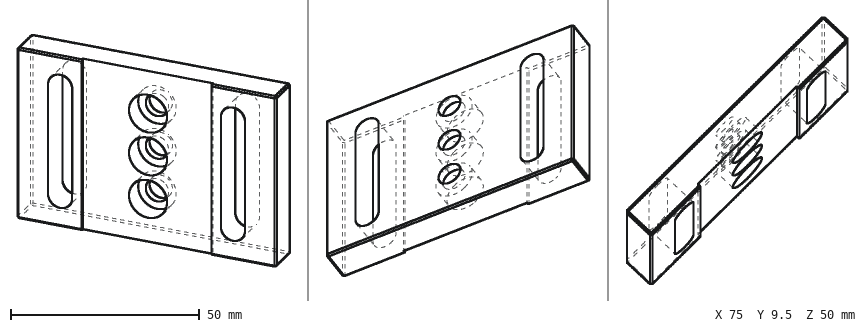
import cadquery as cq

LENGTH = 75.0
THICKNESS = 9.5
HEIGHT = 50.0
EDGE_CHAMFER = 0.5
FRONT_Y = -THICKNESS / 2

CHANNEL_WIDTH = LENGTH / 2
CHANNEL_DEPTH = 1.0
CHANNEL_FLOOR_Y = FRONT_Y + CHANNEL_DEPTH

SLOT_SPACING = 50.0
SLOT_WIDTH = 7.0
SLOT_LENGTH = 39.0

HOLE_COUNT = 3
HOLE_PITCH = 12.5
HOLE_DIAMETER = 6.6
COUNTERBORE_DIAMETER = 11.0
COUNTERBORE_DEPTH = 6.0


def face_plane(y):
    """Plane parallel to the working face: local x is X, local y is Z, normal is -Y."""
    return cq.Workplane("XZ", origin=(0, y, 0))


def make_plate():
    """Rectangular plate with every outer edge chamfered."""
    return cq.Workplane("XY").box(LENGTH, THICKNESS, HEIGHT).edges().chamfer(EDGE_CHAMFER)


def make_channel():
    """Block that clears the channel over the full height."""
    return face_plane(CHANNEL_FLOOR_Y).rect(CHANNEL_WIDTH, HEIGHT).extrude(CHANNEL_DEPTH)


def make_slots():
    """Vertical round-ended cutters through the full thickness."""
    slot_centers = [(-SLOT_SPACING / 2, 0), (SLOT_SPACING / 2, 0)]
    return (
        face_plane(0)
        .pushPoints(slot_centers)
        .slot2D(SLOT_LENGTH, SLOT_WIDTH, angle=90)
        .extrude(THICKNESS / 2, both=True)
    )


def cut_screw_holes(body):
    """Through holes counterbored from the channel floor."""
    return (
        body.copyWorkplane(face_plane(CHANNEL_FLOOR_Y))
        .rarray(1, HOLE_PITCH, 1, HOLE_COUNT)
        .cboreHole(HOLE_DIAMETER, COUNTERBORE_DIAMETER, COUNTERBORE_DEPTH)
    )


plate = make_plate().cut(make_channel()).cut(make_slots())
result = cut_screw_holes(plate)